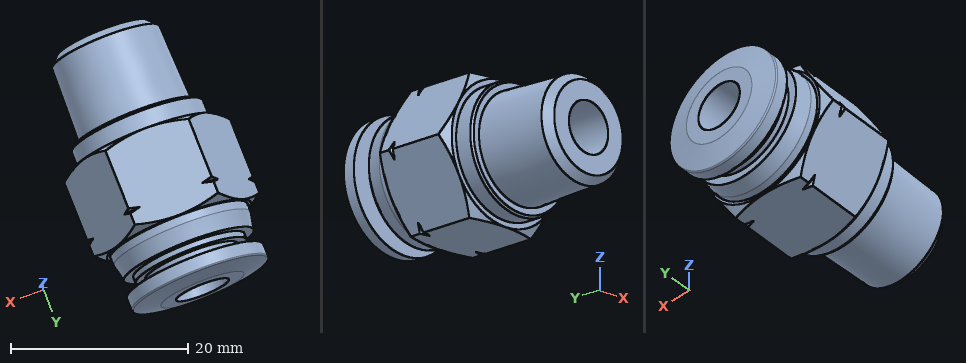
import cadquery as cq
import math

length = 31.0
tip_chamfer_end = 1.05
collar_start = 10.55
collar_chamfer = 0.28
hex_start = 13.02
hex_end = 23.7
sleeve_cone_start = 24.75
sleeve_end = 26.75
ring_end = 27.5
cap_start = 28.7
cap_cone_start = 30.38

bore_diameter = 6.4
tip_diameter = 11.2
thread_end_diameter = 13.15
thread_root_diameter = 13.73
collar_diameter = 16.0
sleeve_diameter = 16.65
sleeve_end_diameter = 15.8
ring_diameter = 13.5
neck_diameter = 11.2
cap_diameter = 16.65
cap_rim_fillet = 0.2
cap_face_diameter = 10.1

hex_corner_diameter = 20.15
hex_flat_distance = hex_corner_diameter * math.cos(math.radians(30))
hex_chamfer_angle = 30.0

groove_position = 21.25
groove_depth = 0.55
groove_half_width = 0.3


def revolve_about_y(points):
    """Turn a closed (radius, y) outline around the Y axis."""
    return cq.Workplane("XY").polyline(points).close().revolve(360, (0, 0, 0), (0, 1, 0))


def turned_body():
    sections = [
        (tip_diameter, 0),
        (thread_end_diameter, tip_chamfer_end),
        (thread_root_diameter, collar_start),
        (collar_diameter - 2 * collar_chamfer, collar_start),
        (collar_diameter, collar_start + collar_chamfer),
        (collar_diameter, hex_start),
        (sleeve_diameter, hex_start),
        (sleeve_diameter, sleeve_cone_start),
        (sleeve_end_diameter, sleeve_end),
        (ring_diameter, sleeve_end),
        (ring_diameter, ring_end),
        (neck_diameter, ring_end),
        (neck_diameter, cap_start),
        (cap_diameter, cap_start),
        (cap_diameter, cap_cone_start),
        (cap_face_diameter, length),
    ]
    outline = [(diameter / 2, y) for diameter, y in sections]
    body = revolve_about_y([(0, 0)] + outline + [(0, length)])
    rim_edge = cq.selectors.NearestToPointSelector((0, cap_cone_start, 0))
    return body.edges("%CIRCLE").edges(rim_edge).fillet(cap_rim_fillet)


def hexagon():
    prism = (
        cq.Workplane("XZ", origin=(0, hex_start, 0))
        .polygon(6, hex_corner_diameter)
        .extrude(hex_start - hex_end)
    )
    flat_radius = hex_flat_distance / 2
    corner_radius = hex_corner_diameter / 2
    chamfer_height = (corner_radius - flat_radius) * math.tan(math.radians(hex_chamfer_angle))
    envelope = revolve_about_y([
        (0, hex_start),
        (flat_radius, hex_start),
        (corner_radius, hex_start + chamfer_height),
        (corner_radius, groove_position - groove_half_width),
        (corner_radius - groove_depth, groove_position),
        (corner_radius, groove_position + groove_half_width),
        (corner_radius, hex_end - chamfer_height),
        (flat_radius, hex_end),
        (0, hex_end),
    ])
    return prism.intersect(envelope)


bore = cq.Workplane("XZ").circle(bore_diameter / 2).extrude(-length)

result = turned_body().union(hexagon()).cut(bore)